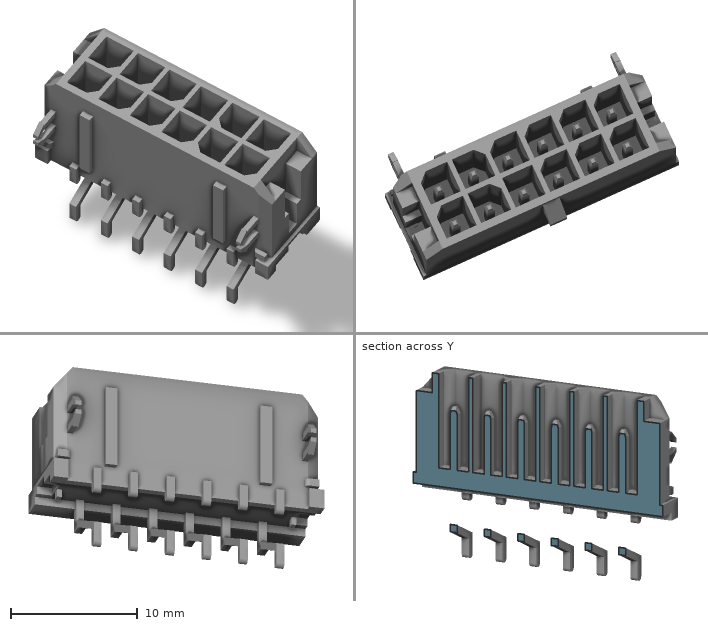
import cadquery as cq
import math


COLUMNS = 6
PITCH = 3.0
PIN = 0.65
column_xs = [(i - (COLUMNS - 1) / 2) * PITCH for i in range(COLUMNS)]
BACK_ROW_Y = PITCH / 2
FRONT_ROW_Y = -PITCH / 2

LENGTH = 22.15
DEPTH = 6.82
HEIGHT = 9.9
CORE_LENGTH = 18.78
FRONT_Y = -DEPTH / 2
BACK_Y = DEPTH / 2
CORE_X = CORE_LENGTH / 2

FOOT_TOP = 1.62
FOOT_STEP = 0.49
FOOT_INNER_X = 9.85
STEP_Y = FRONT_Y - FOOT_STEP

EAR_X = 10.8
EAR_TOP = 8.28
EAR_BEVEL = 0.47
WEDGE_BACK = 0.73
WEDGE_FRONT = 1.0

WIDE_SLOT = 2.24
WIDE_SLOT_FLOOR = 4.76
NARROW_SLOT = 1.15
NARROW_SLOT_FLOOR = 2.25

SEAT_X = 9.8
SEAT_GROOVE_X = 10.17
SEAT_GROOVE = 0.75
SEAT_DEPTH = 0.22

CHANNEL_BACK_Y = 1.57
CHANNEL_FRONT_Y = -2.77
CHANNEL_TOP = 0.66
WINDOW_WIDTH = 2.0
WINDOW_TOP = 1.3
PEG_WIDTH = 0.62

SOCKET = 2.6
SOCKET_CHAMFER = 0.7
SOCKET_FLOOR = 2.22
PIN_TOP = 7.3
PIN_TIP = 0.29
PIN_TAPER = 0.53
BACK_ROW_KEYS = ["right", "right", "right", "none", "left", "right"]
FRONT_ROW_KEYS = ["right", "right", "right", "right", "left", "right"]

RIB_X = 6.33
RIB_WIDTH = 0.95

LATCH_WIDTH = 1.45
LATCH_REACH = 1.42
LATCH_TOP = 9.33
LATCH_NOSE_TOP = 7.73
LATCH_BOTTOM = 7.0
LATCH_FILLET = 0.8

FRONT_TAIL_TOP = 1.2
FRONT_TAIL_BOTTOM = -0.82
BACK_TAIL_BOTTOM = -5.5
HEEL_Z = -1.97
HEEL_LENGTH = 1.1
BEND_INSIDE_Z = -1.13
TOE_TOP = -3.5
TOE_INSIDE_Z = -3.85

PRONG_REACH = 2.53
PRONG_SHANK = 1.66
PRONG_Z = 5.27
PRONG_GAP = 0.6
PRONG_OUTER = 1.13
PRONG_BARB = 1.3
TIP_INNER = 0.2
TIP_OUTER = 0.58
TAB_INNER_X = 9.6
TAB_OUTER_X = 10.7
TAB_BOTTOM = 1.88
TAB_TOP = 2.5
TAB_THICKNESS = 0.4
TAB_BEND = 0.38


def block(x0, x1, y0, y1, z0, z1):
    """Box given by its limits along each axis."""
    return cq.Workplane("XY").box(x1 - x0, y1 - y0, z1 - z0, centered=False).translate((x0, y0, z0))


def side_profile(x0):
    """Sketch plane with local axes Y and Z; extruding goes towards +X from x0."""
    return cq.Workplane("YZ", origin=(x0, 0, 0))


def make_end():
    """Foot plate and slotted ear at the +X end."""
    foot = block(CORE_X, LENGTH / 2, FRONT_Y, BACK_Y, 0, FOOT_TOP)
    foot_front = block(FOOT_INNER_X, LENGTH / 2, STEP_Y, FRONT_Y, 0, FOOT_TOP)
    ear = (
        cq.Workplane("XZ", origin=(0, BACK_Y, 0))
        .moveTo(CORE_X, FOOT_TOP)
        .lineTo(EAR_X, FOOT_TOP)
        .lineTo(EAR_X, EAR_TOP)
        .lineTo(CORE_X, HEIGHT)
        .close()
        .extrude(DEPTH)
    )
    ear = ear.cut(block(CORE_X, EAR_X, FRONT_Y + WEDGE_FRONT, BACK_Y - WEDGE_BACK, EAR_TOP, HEIGHT))
    bevel = (
        cq.Workplane("XY", origin=(0, 0, FOOT_TOP))
        .moveTo(FOOT_INNER_X, FRONT_Y)
        .lineTo(EAR_X, FRONT_Y)
        .lineTo(EAR_X, FRONT_Y + EAR_BEVEL)
        .close()
        .extrude(HEIGHT - FOOT_TOP)
    )
    ear = ear.cut(bevel)
    for width, floor in ((WIDE_SLOT, WIDE_SLOT_FLOOR), (NARROW_SLOT, NARROW_SLOT_FLOOR)):
        ear = ear.cut(block(CORE_X, EAR_X, -width / 2, width / 2, floor, EAR_TOP))
    seat_bottom = NARROW_SLOT_FLOOR - SEAT_DEPTH
    for x, width in ((SEAT_X, NARROW_SLOT), (SEAT_GROOVE_X, SEAT_GROOVE)):
        ear = ear.cut(block(CORE_X, x, -width / 2, width / 2, seat_bottom, NARROW_SLOT_FLOOR))
    window = block(FOOT_INNER_X, LENGTH / 2, -WINDOW_WIDTH / 2, WINDOW_WIDTH / 2, 0, WINDOW_TOP)
    return foot.union(foot_front).union(ear).cut(window)


def make_prong(direction):
    """One barbed prong; direction is +1 for the upper one and -1 for the lower one."""
    outline = [
        (0, PRONG_GAP),
        (PRONG_SHANK, PRONG_GAP),
        (PRONG_REACH, TIP_INNER),
        (PRONG_REACH, TIP_OUTER),
        (PRONG_SHANK, PRONG_BARB),
        (PRONG_SHANK, PRONG_OUTER),
        (0, PRONG_OUTER),
    ]
    points = [(FRONT_Y - reach, PRONG_Z + direction * rise) for reach, rise in outline]
    return side_profile(CORE_X).polyline(points).close().extrude(FOOT_INNER_X - CORE_X)


def make_board_lock():
    """Prongs, retaining tab and peg of the board lock at the +X end."""
    tab = block(TAB_INNER_X, TAB_OUTER_X, FRONT_Y - TAB_THICKNESS, FRONT_Y, TAB_BOTTOM, TAB_TOP)
    tab = tab.edges("|Z and <X and <Y").fillet(TAB_BEND)
    peg = block(CORE_X, SEAT_X, -PEG_WIDTH / 2, PEG_WIDTH / 2, 0, CHANNEL_TOP)
    return make_prong(1).union(make_prong(-1)).union(tab).union(peg)


def make_latch():
    """Ramped latch in the middle of the back face."""
    nose_y = BACK_Y + LATCH_REACH
    fillet_mid = LATCH_FILLET * (1 - math.sqrt(0.5))
    return (
        side_profile(-LATCH_WIDTH / 2)
        .moveTo(BACK_Y, LATCH_TOP)
        .lineTo(nose_y, LATCH_NOSE_TOP)
        .lineTo(nose_y, LATCH_BOTTOM)
        .lineTo(BACK_Y + LATCH_FILLET, LATCH_BOTTOM)
        .threePointArc(
            (BACK_Y + fillet_mid, LATCH_BOTTOM - fillet_mid),
            (BACK_Y, LATCH_BOTTOM - LATCH_FILLET),
        )
        .close()
        .extrude(LATCH_WIDTH)
    )


def make_socket(x, y, key):
    """Square socket cavity with its keyed front corner cut off."""
    socket = block(x - SOCKET / 2, x + SOCKET / 2, y - SOCKET / 2, y + SOCKET / 2, SOCKET_FLOOR, HEIGHT)
    corner = {"left": "<X", "right": ">X"}
    if key in corner:
        socket = socket.edges(f"|Z and <Y and {corner[key]}").chamfer(SOCKET_CHAMFER)
    return socket


def make_contact_pin(x, y):
    """Contact pin standing in a socket, tapered to a small flat tip."""
    shoulder = PIN_TOP - PIN_TAPER
    half = PIN / 2
    pin = block(x - half, x + half, y - half, y + half, CHANNEL_TOP, shoulder)
    tip = (
        cq.Workplane("XY", origin=(x, y, shoulder))
        .rect(PIN, PIN)
        .workplane(offset=PIN_TAPER)
        .rect(PIN_TIP, PIN_TIP)
        .loft()
    )
    return pin.union(tip)


def make_front_tail(x):
    """Straight tail on the front face with a round end."""
    toe_y = STEP_Y + PIN
    round_z = FRONT_TAIL_BOTTOM + PIN / 2
    return (
        side_profile(x - PIN / 2)
        .moveTo(toe_y, FRONT_TAIL_TOP)
        .lineTo(toe_y, round_z)
        .threePointArc((STEP_Y + PIN / 2, FRONT_TAIL_BOTTOM), (STEP_Y, round_z))
        .lineTo(STEP_Y, FRONT_TAIL_TOP)
        .close()
        .extrude(PIN)
    )


def make_back_tail(x):
    """Tail under the back row, cranked forward to the front solder row."""
    toe_y = STEP_Y + PIN
    round_z = BACK_TAIL_BOTTOM + PIN / 2
    heel_y = BACK_ROW_Y + PIN / 2
    return (
        side_profile(x - PIN / 2)
        .moveTo(heel_y, CHANNEL_TOP)
        .lineTo(heel_y, HEEL_Z)
        .lineTo(heel_y - HEEL_LENGTH, HEEL_Z)
        .lineTo(toe_y, TOE_INSIDE_Z)
        .lineTo(toe_y, round_z)
        .threePointArc((STEP_Y + PIN / 2, BACK_TAIL_BOTTOM), (STEP_Y, round_z))
        .lineTo(STEP_Y, TOE_TOP)
        .lineTo(heel_y - PIN, BEND_INSIDE_Z)
        .lineTo(heel_y - PIN, CHANNEL_TOP)
        .close()
        .extrude(PIN)
    )


housing = block(-CORE_X, CORE_X, FRONT_Y, BACK_Y, 0, HEIGHT)
end = make_end()
housing = housing.union(end).union(end.mirror("YZ"))
housing = housing.cut(block(-LENGTH / 2, LENGTH / 2, CHANNEL_FRONT_Y, CHANNEL_BACK_Y, 0, CHANNEL_TOP))
housing = housing.union(make_latch())

for rib_x in (-RIB_X, RIB_X):
    rib_left = rib_x - RIB_WIDTH / 2
    housing = housing.union(block(rib_left, rib_left + RIB_WIDTH, STEP_Y, FRONT_Y, FOOT_TOP, EAR_TOP))

for row_y, keys in ((BACK_ROW_Y, BACK_ROW_KEYS), (FRONT_ROW_Y, FRONT_ROW_KEYS)):
    for column_x, key in zip(column_xs, keys):
        housing = housing.cut(make_socket(column_x, row_y, key))
        housing = housing.union(make_contact_pin(column_x, row_y))

for column_x in column_xs:
    housing = housing.union(make_front_tail(column_x)).union(make_back_tail(column_x))

board_lock = make_board_lock()
result = housing.union(board_lock).union(board_lock.mirror("YZ"))